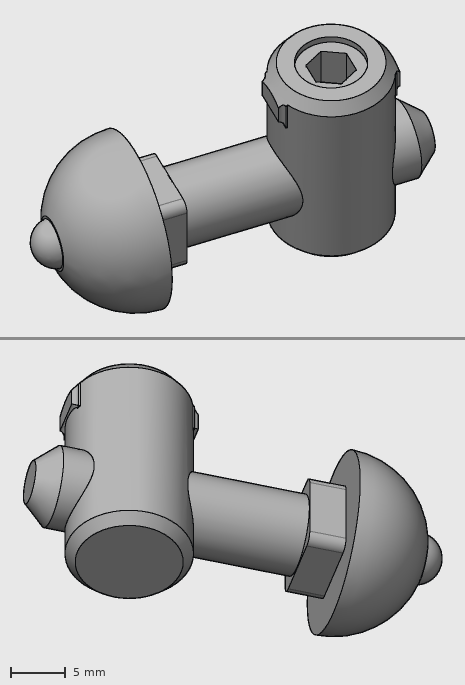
import cadquery as cq
import math


barrel_radius = 5.88
head_radius = 8.64
overall_height = 21.15
barrel_top = overall_height - head_radius
barrel_length = 20.0
barrel_bottom = barrel_top - barrel_length
top_chamfer_radial = 0.85
top_chamfer_height = 1.2
bottom_chamfer_radial = 0.95
bottom_chamfer_height = 1.0

lug_reach = 6.05
lug_width = 3.8
lug_height = 3.6
lug_flare = 0.5

recess_diameter = 6.7
recess_depth = 0.65
hex_across_flats = 4.05
hex_depth = 3.9

rod_radius = 3.85
rod_back = 9.5
rod_tip_radius = 2.05
rod_taper_length = 2.1

head_face = -19.48
neck_length = 3.45
neck_width = 8.0
neck_corner_radius = 0.98
dome_depth = 8.23
overall_length = 39.2
nose_radius = 2.43
nose_tip = rod_back - overall_length


def make_barrel():
    """Barrel with its lugs, both trimmed by the same conical top chamfer."""
    body = cq.Workplane("XY").workplane(offset=barrel_bottom).circle(barrel_radius).extrude(barrel_length)
    body = body.faces("<Z").chamfer(bottom_chamfer_height, bottom_chamfer_radial)
    for side in (1, -1):
        body = body.union(make_lug(side))

    envelope_radius = barrel_radius + top_chamfer_radial
    cone_base = barrel_top - 2 * top_chamfer_height
    envelope = (
        cq.Workplane("XZ")
        .moveTo(0, barrel_bottom)
        .lineTo(envelope_radius, barrel_bottom)
        .lineTo(envelope_radius, cone_base)
        .lineTo(barrel_radius - top_chamfer_radial, barrel_top)
        .lineTo(0, barrel_top)
        .close()
        .revolve(360, (0, 0, 0), (0, 1, 0))
    )
    return body.intersect(envelope)


def make_lug(side):
    """Flat-faced lug that flares with hollow arcs at its sides and bottom."""
    half_width = lug_width / 2
    base_half_width = half_width + lug_flare
    flare_end = lug_reach - lug_flare
    lug_bottom = barrel_top - lug_height
    flare_bottom = lug_bottom - lug_flare
    arc_offset = lug_flare * (1 - math.sqrt(0.5))

    plan = (
        cq.Workplane("XY")
        .workplane(offset=flare_bottom)
        .moveTo(-base_half_width, 0)
        .lineTo(-base_half_width, side * flare_end)
        .threePointArc(
            (-half_width - arc_offset, side * (flare_end + arc_offset)),
            (-half_width, side * lug_reach),
        )
        .lineTo(half_width, side * lug_reach)
        .threePointArc(
            (half_width + arc_offset, side * (flare_end + arc_offset)),
            (base_half_width, side * flare_end),
        )
        .lineTo(base_half_width, 0)
        .close()
        .extrude(lug_height + lug_flare)
    )
    side_profile = (
        cq.Workplane("YZ")
        .moveTo(0, barrel_top)
        .lineTo(side * lug_reach, barrel_top)
        .lineTo(side * lug_reach, lug_bottom)
        .threePointArc(
            (side * (flare_end + arc_offset), lug_bottom - arc_offset),
            (side * flare_end, flare_bottom),
        )
        .lineTo(0, flare_bottom)
        .close()
        .extrude(base_half_width, both=True)
    )
    return plan.intersect(side_profile)


def make_rod_and_head():
    """Tapered rod, half-ball head and rounded nose, turned about Y."""
    taper_start = rod_back - rod_taper_length
    dome_end = head_face - dome_depth
    dome_end_radius = math.sqrt(head_radius**2 - dome_depth**2)
    dome_mid = head_radius * math.sqrt(0.5)
    nose_center = nose_tip + nose_radius
    nose_base_radius = math.sqrt(nose_radius**2 - (nose_center - dome_end) ** 2)
    nose_mid = nose_radius * math.sqrt(0.5)
    return (
        cq.Workplane("XY")
        .moveTo(0, rod_back)
        .lineTo(rod_tip_radius, rod_back)
        .lineTo(rod_radius, taper_start)
        .lineTo(rod_radius, head_face)
        .lineTo(head_radius, head_face)
        .threePointArc((dome_mid, head_face - dome_mid), (dome_end_radius, dome_end))
        .lineTo(nose_base_radius, dome_end)
        .threePointArc((nose_mid, nose_center - nose_mid), (0, nose_tip))
        .close()
        .revolve(360, (0, 0, 0), (0, 1, 0))
    )


def make_neck():
    """Square neck with rounded corners, standing on the flat head face."""
    return (
        cq.Workplane("XZ", origin=(0, head_face, 0))
        .rect(neck_width, neck_width)
        .extrude(-neck_length)
        .edges("|Y")
        .fillet(neck_corner_radius)
    )


def cut_socket(body):
    """Round recess with a hexagon socket in its floor."""
    recess_floor = barrel_top - recess_depth
    hex_across_corners = hex_across_flats / math.cos(math.pi / 6)
    recess = cq.Workplane("XY").workplane(offset=recess_floor).circle(recess_diameter / 2).extrude(recess_depth)
    hexagon = cq.Workplane("XY").workplane(offset=recess_floor).polygon(6, hex_across_corners).extrude(-hex_depth)
    return body.cut(recess).cut(hexagon)


barrel = cut_socket(make_barrel())
result = barrel.union(make_rod_and_head()).union(make_neck())